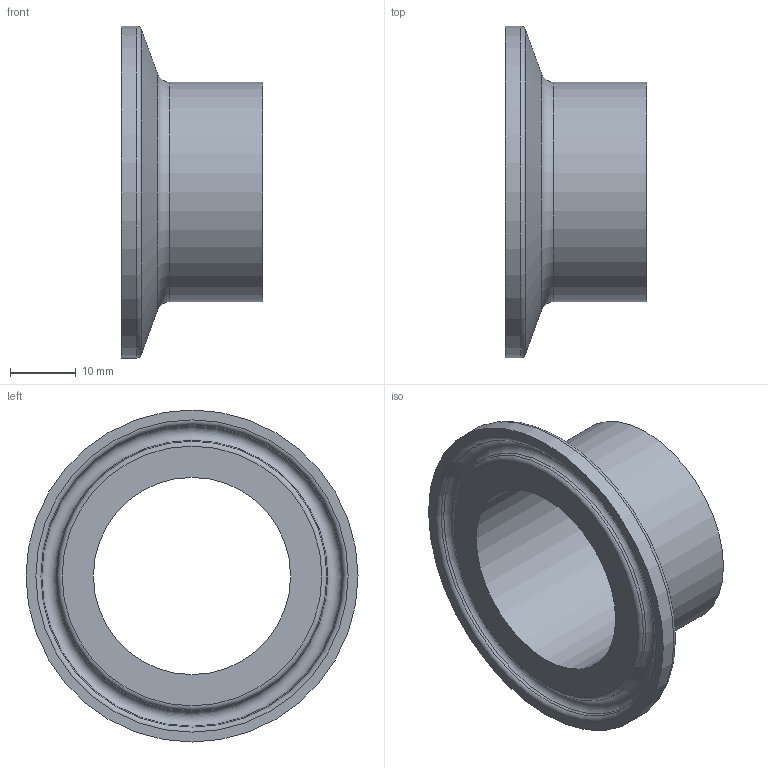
import cadquery as cq
import math

total_length = 21.5
flange_radius = 50.5 / 2
tube_radius = 33.4 / 2
bore_radius = 30.0 / 2

rim_thickness = 2.85
clamp_angle = math.radians(20)
rim_round = 0.8
neck_fillet = 2.0

groove_center_radius = 43.5 / 2
groove_depth = 1.6
groove_wall_angle = math.radians(67)
groove_bottom_round = 1.2
groove_lip_round = 0.8


def revolve_about_x(profile):
    """Turn a closed (axial, radial) profile a full circle about the X axis."""
    return profile.close().revolve(360, (0, 0, 0), (1, 0, 0))


def circle_point(center, radius, angle):
    """Point on a circle, with the angle measured from +X towards +radial."""
    return (center[0] + radius * math.cos(angle), center[1] + radius * math.sin(angle))


def make_body():
    """Tube and flange with a rounded rim corner and a neck fillet."""
    corner_turn = math.pi / 2 - clamp_angle
    cone_end = rim_thickness + (flange_radius - tube_radius) * math.tan(clamp_angle)
    rim_center = (
        rim_thickness - rim_round * math.tan(corner_turn / 2),
        flange_radius - rim_round,
    )
    neck_center = (
        cone_end + neck_fillet * math.tan(corner_turn / 2),
        tube_radius + neck_fillet,
    )
    cone_normal = clamp_angle
    round_middle = (math.pi / 2 + cone_normal) / 2

    profile = (
        cq.Workplane("XY")
        .moveTo(0, bore_radius)
        .lineTo(0, flange_radius)
        .lineTo(rim_center[0], flange_radius)
        .threePointArc(
            circle_point(rim_center, rim_round, round_middle),
            circle_point(rim_center, rim_round, cone_normal),
        )
        .lineTo(*circle_point(neck_center, -neck_fillet, cone_normal))
        .threePointArc(
            circle_point(neck_center, -neck_fillet, round_middle),
            (neck_center[0], tube_radius),
        )
        .lineTo(total_length, tube_radius)
        .lineTo(total_length, bore_radius)
    )
    return revolve_about_x(profile)


def make_groove():
    """Ring of material removed from the sealing face, symmetric about its center."""
    wall_depth = groove_depth - (groove_bottom_round + groove_lip_round) * (1 - math.cos(groove_wall_angle))
    wall_width = wall_depth / math.tan(groove_wall_angle)
    half_width = (groove_bottom_round + groove_lip_round) * math.sin(groove_wall_angle) + wall_width

    def lip_point(side, angle):
        offset = half_width - groove_lip_round * math.sin(angle)
        return (groove_lip_round * (1 - math.cos(angle)), groove_center_radius + side * offset)

    def bottom_point(side, angle):
        offset = groove_bottom_round * math.sin(angle)
        depth = groove_depth - groove_bottom_round * (1 - math.cos(angle))
        return (depth, groove_center_radius + side * offset)

    inner, outer = -1, 1
    profile = (
        cq.Workplane("XY")
        .moveTo(*lip_point(inner, 0))
        .threePointArc(lip_point(inner, groove_wall_angle / 2), lip_point(inner, groove_wall_angle))
        .lineTo(*bottom_point(inner, groove_wall_angle))
        .threePointArc((groove_depth, groove_center_radius), bottom_point(outer, groove_wall_angle))
        .lineTo(*lip_point(outer, groove_wall_angle))
        .threePointArc(lip_point(outer, groove_wall_angle / 2), lip_point(outer, 0))
    )
    return revolve_about_x(profile)


result = make_body().cut(make_groove())